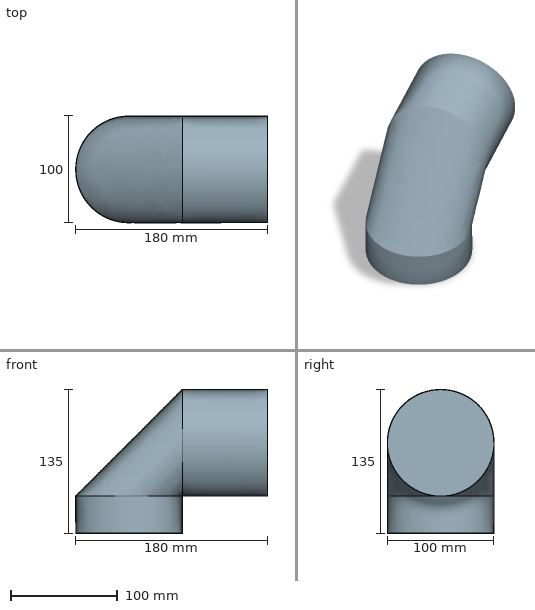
import cadquery as cq
import math

total_length = 180.0
total_height = 135.0
inlet_height = 35.0
outlet_length = 80.0

diameter = total_length - outlet_length
radius = diameter / 2
axis_height = total_height - radius

trim_size = 2 * diameter


def vertical_inlet():
    """Lower pipe end, standing on the base plane around the Z axis."""
    return cq.Workplane("XY").circle(radius).extrude(inlet_height)


def horizontal_outlet():
    """Upper pipe end, running along +X from the end of the elbow."""
    outlet_plane = cq.Workplane("YZ", origin=(radius, 0, axis_height))
    return outlet_plane.circle(radius).extrude(outlet_length)


def slanted_elbow():
    """45-degree elliptical pipe, trimmed so both of its end faces are circles."""
    pipe_plane = cq.Plane(
        origin=(-trim_size, 0, inlet_height - trim_size),
        xDir=(0, 1, 0),
        normal=(1, 0, 1),
    )
    pipe = (
        cq.Workplane(pipe_plane)
        .ellipse(radius, radius * math.cos(math.radians(45)))
        .extrude(2 * trim_size * math.sqrt(2))
    )
    block = (
        cq.Workplane("XY")
        .box(trim_size, trim_size, trim_size, centered=(False, True, False))
        .translate((radius - trim_size, 0, inlet_height))
    )
    return pipe.intersect(block)


result = slanted_elbow().union(vertical_inlet(), clean=False)
result = result.union(horizontal_outlet(), clean=False)